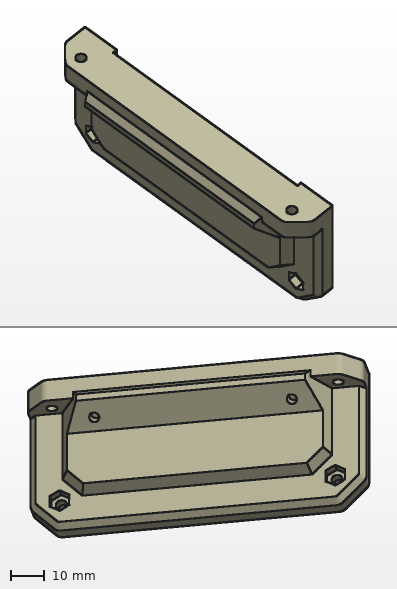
import cadquery as cq
import math

width = 102.0
height = 45.7
plate_thickness = 6.2
plate_corner = 8.0
corner_radius = 3.0
front_chamfer = 1.9

flange_height = 7.0
flange_depth = 14.8
flange_corner = 6.0
flange_hole_diameter = 3.3
flange_hole_x = 42.6
flange_hole_from_back = 9.7
flange_bottom = height - flange_height

boss_width = 81.9
boss_bottom = 10.1
boss_corner = 6.1
boss_draft = 30.0
boss_depth = 9.9
lip_depth = 16.9
lip_thickness = 2.1
lip_top = flange_bottom
lip_bottom = lip_top - lip_thickness
lip_slope_top = lip_top + lip_depth - flange_depth
boss_slope_bottom = lip_bottom - (lip_depth - boss_depth)

slope_hole_diameter = 3.0
slope_hole_x = 29.4
slope_hole_z = 32.5
slope_hole_depth = 4.1

bolt_x = 41.0
bolt_z = 9.2
bolt_diameter = 3.3
nut_across_flats = 5.9
nut_pocket_depth = 3.0

recess_width = 75.9
recess_depth = 1.5
pin_diameter = 3.5
pin_height = 0.9
pin_x = 18.6
pin_z = (boss_bottom + height) / 2


def cylinder_along_y(x, z, diameter, y_start, y_end):
    """Cylinder parallel to Y that runs forward from y_start to y_end."""
    return (
        cq.Workplane("XZ", origin=(x, y_start, z))
        .circle(diameter / 2)
        .extrude(y_start - y_end)
    )


def make_plate():
    plate = (
        cq.Workplane("XY")
        .box(width, plate_thickness, height, centered=(True, False, False))
        .translate((0, -plate_thickness, 0))
    )
    plate = plate.edges("|Y and <Z").chamfer(plate_corner)
    lower_corners = cq.selectors.BoxSelector(
        (-width, -2 * plate_thickness, -1), (width, plate_thickness, height / 2)
    )
    plate = plate.edges("|Y").edges(lower_corners).fillet(corner_radius)
    return plate.faces("<Y").chamfer(front_chamfer)


def make_flange():
    half_width = width / 2
    corner_x = half_width - flange_corner
    corner_y = flange_corner - flange_depth
    flange = (
        cq.Workplane("XY", origin=(0, 0, flange_bottom))
        .moveTo(-half_width, 0)
        .lineTo(-half_width, corner_y)
        .lineTo(-corner_x, -flange_depth)
        .lineTo(corner_x, -flange_depth)
        .lineTo(half_width, corner_y)
        .lineTo(half_width, 0)
        .close()
        .extrude(flange_height)
    )
    return flange.edges("|Z").edges("not >Y").fillet(corner_radius)


def make_boss():
    half_width = boss_width / 2
    corner_x = half_width - boss_corner
    corner_z = boss_bottom + boss_corner
    tapered_block = (
        cq.Workplane("XZ", origin=(0, -plate_thickness, 0))
        .moveTo(-half_width, height)
        .lineTo(-half_width, corner_z)
        .lineTo(-corner_x, boss_bottom)
        .lineTo(corner_x, boss_bottom)
        .lineTo(half_width, corner_z)
        .lineTo(half_width, height)
        .close()
        .extrude(lip_depth - plate_thickness, taper=boss_draft)
    )
    side_prism = (
        cq.Workplane("YZ", origin=(-half_width, 0, 0))
        .moveTo(-plate_thickness, 0)
        .lineTo(-boss_depth, 0)
        .lineTo(-boss_depth, boss_slope_bottom)
        .lineTo(-lip_depth, lip_bottom)
        .lineTo(-lip_depth, lip_top)
        .lineTo(-flange_depth, lip_slope_top)
        .lineTo(-plate_thickness, lip_slope_top)
        .close()
        .extrude(boss_width)
    )
    return tapered_block.intersect(side_prism)


def make_slope_hole(x):
    """Blind hole square to the 45 degree slope under the lip."""
    mouth_depth = lip_depth - (lip_bottom - slope_hole_z)
    mouth = cq.Vector(x, -mouth_depth, slope_hole_z)
    inward = cq.Vector(0, 1, 1)
    hole = cq.Solid.makeCylinder(slope_hole_diameter / 2, slope_hole_depth, mouth, inward)
    return cq.Workplane(hole)


def make_nut_pocket(x):
    across_corners = nut_across_flats / math.cos(math.radians(30))
    return (
        cq.Workplane("XZ", origin=(x, nut_pocket_depth - plate_thickness, bolt_z))
        .transformed(rotate=(0, 0, 90))
        .polygon(6, across_corners)
        .extrude(nut_pocket_depth)
    )


def make_recess():
    return (
        cq.Workplane("XY", origin=(0, -recess_depth, boss_bottom))
        .box(recess_width, recess_depth, height - boss_bottom, centered=(True, False, False))
    )


result = make_plate().union(make_flange()).union(make_boss()).cut(make_recess())

for side in (-1, 1):
    flange_hole = (
        cq.Workplane("XY", origin=(side * flange_hole_x, -flange_hole_from_back, flange_bottom))
        .circle(flange_hole_diameter / 2)
        .extrude(flange_height)
    )
    bolt_hole = cylinder_along_y(side * bolt_x, bolt_z, bolt_diameter, 0, -plate_thickness)
    pin = cylinder_along_y(side * pin_x, pin_z, pin_diameter, pin_height - recess_depth, -recess_depth)
    result = (
        result.cut(flange_hole)
        .cut(bolt_hole)
        .cut(make_nut_pocket(side * bolt_x))
        .cut(make_slope_hole(side * slope_hole_x))
        .union(pin)
    )